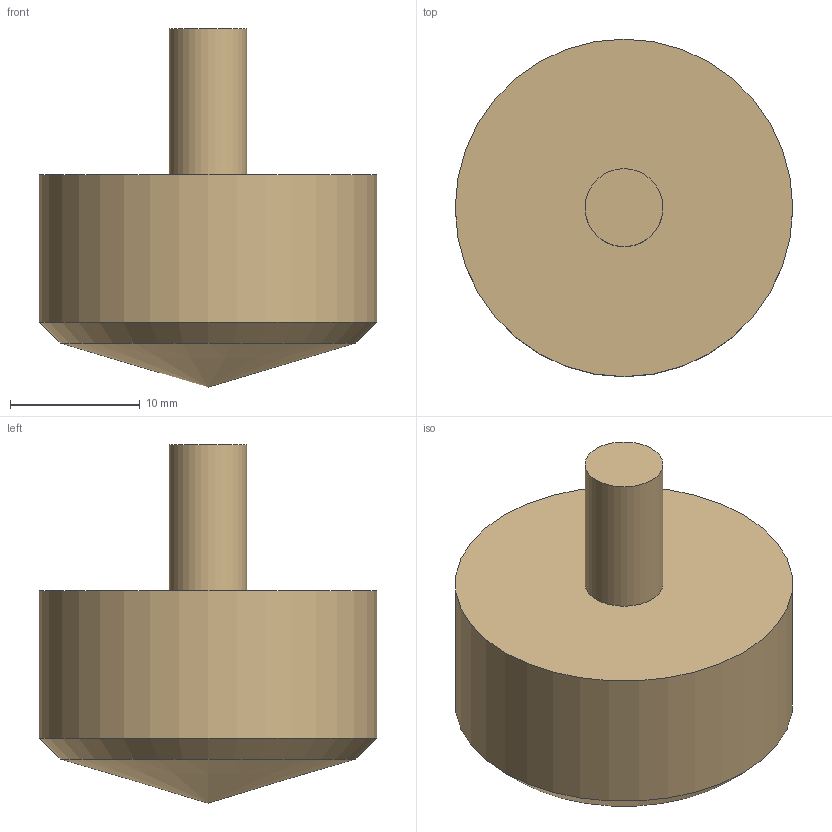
import cadquery as cq

body_diameter = 26.0
pin_diameter = 6.0
total_height = 27.6
pin_length = 11.25
chamfer_size = 1.6
cone_height = 3.4

body_radius = body_diameter / 2
pin_radius = pin_diameter / 2
cone_radius = body_radius - chamfer_size
body_bottom = cone_height + chamfer_size
body_top = total_height - pin_length


def turned_profile():
    """Half section in the XZ plane, from the tip up to the end of the pin."""
    return (
        cq.Workplane("XZ")
        .moveTo(0, 0)
        .lineTo(cone_radius, cone_height)
        .lineTo(body_radius, body_bottom)
        .lineTo(body_radius, body_top)
        .lineTo(pin_radius, body_top)
        .lineTo(pin_radius, total_height)
        .lineTo(0, total_height)
        .close()
    )


result = turned_profile().revolve(360, (0, 0, 0), (0, 1, 0))